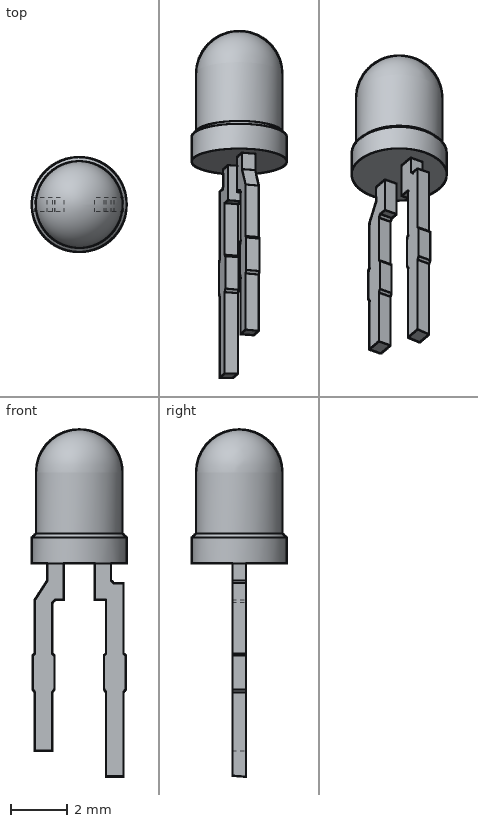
import cadquery as cq

total_height = 12.4
flange_bottom = 7.61

lens_radius = 1.55
flange_radius = 1.7
flange_chamfer = flange_radius - lens_radius
flange_top = 8.68
dome_start = total_height - lens_radius

lead_thickness = 0.5
root_inner_x = 0.55
root_outer_x = 1.14
leg_inner_x = 0.95
leg_outer_x = 1.59
shoulder_bottom = 6.31
bend_chamfer = 0.1

slope_top = 7.0
short_lead_tip = 0.93

square_shoulder_top = 6.91
long_lead_tip = 0.0
tip_slant = 0.04

stop_projection = 0.07
stop_top = 4.4
stop_bottom = 3.01
stop_top_taper = 0.07
stop_bottom_taper = 0.11


def make_lens():
    """Revolve the half profile of the lens about Z."""
    dome_mid = lens_radius * 0.5 ** 0.5
    return (
        cq.Workplane("XZ")
        .moveTo(0, flange_bottom)
        .lineTo(flange_radius, flange_bottom)
        .lineTo(flange_radius, flange_top - flange_chamfer)
        .lineTo(lens_radius, flange_top)
        .lineTo(lens_radius, dome_start)
        .threePointArc((dome_mid, dome_start + dome_mid), (0, total_height))
        .close()
        .revolve(360, (0, 0, 0), (0, 1, 0))
    )


def extrude_lead(outline):
    """Extrude an XZ outline into a strip centred on Y = 0."""
    return cq.Workplane("XZ").polyline(outline).close().extrude(lead_thickness / 2, both=True)


def stop_edge(leg_x, direction):
    """Points down one side of a leg where the stop projects in the given X direction."""
    stop_x = leg_x + direction * stop_projection
    return [
        (leg_x, stop_top),
        (stop_x, stop_top - stop_top_taper),
        (stop_x, stop_bottom + stop_bottom_taper),
        (leg_x, stop_bottom),
    ]


def chamfer_bend(lead, x, z):
    """Bevel the lead's inside corner that runs along Y at the given X and Z."""
    margin = 0.01
    corner = cq.selectors.BoxSelector(
        (x - margin, -lead_thickness, z - margin), (x + margin, lead_thickness, z + margin)
    )
    return lead.edges("|Y").edges(corner).chamfer(bend_chamfer)


def make_short_lead():
    """Left lead, with a sloping outer shoulder."""
    outline = [
        (-root_inner_x, flange_bottom),
        (-root_outer_x, flange_bottom),
        (-root_outer_x, slope_top),
        (-leg_outer_x, shoulder_bottom),
        *stop_edge(-leg_outer_x, -1),
        (-leg_outer_x, short_lead_tip),
        (-leg_inner_x, short_lead_tip),
        *reversed(stop_edge(-leg_inner_x, 1)),
        (-leg_inner_x, shoulder_bottom),
        (-root_inner_x, shoulder_bottom),
    ]
    return chamfer_bend(extrude_lead(outline), -leg_inner_x, shoulder_bottom)


def make_long_lead():
    """Right lead, with a square outer shoulder and a tip slanted across its thickness."""
    outline = [
        (root_inner_x, flange_bottom),
        (root_outer_x, flange_bottom),
        (root_outer_x, square_shoulder_top),
        (leg_outer_x, square_shoulder_top),
        *stop_edge(leg_outer_x, 1),
        (leg_outer_x, long_lead_tip),
        (leg_inner_x, long_lead_tip),
        *reversed(stop_edge(leg_inner_x, -1)),
        (leg_inner_x, shoulder_bottom),
        (root_inner_x, shoulder_bottom),
    ]
    lead = chamfer_bend(extrude_lead(outline), root_outer_x, square_shoulder_top)

    tip_wedge = (
        cq.Workplane("YZ")
        .polyline([
            (-lead_thickness / 2, long_lead_tip),
            (lead_thickness / 2, long_lead_tip),
            (-lead_thickness / 2, long_lead_tip + tip_slant),
        ])
        .close()
        .extrude(flange_radius)
    )
    return lead.cut(tip_wedge)


lens = make_lens()
short_lead = make_short_lead()
long_lead = make_long_lead()

result = cq.Compound.makeCompound([lens.val(), short_lead.val(), long_lead.val()])